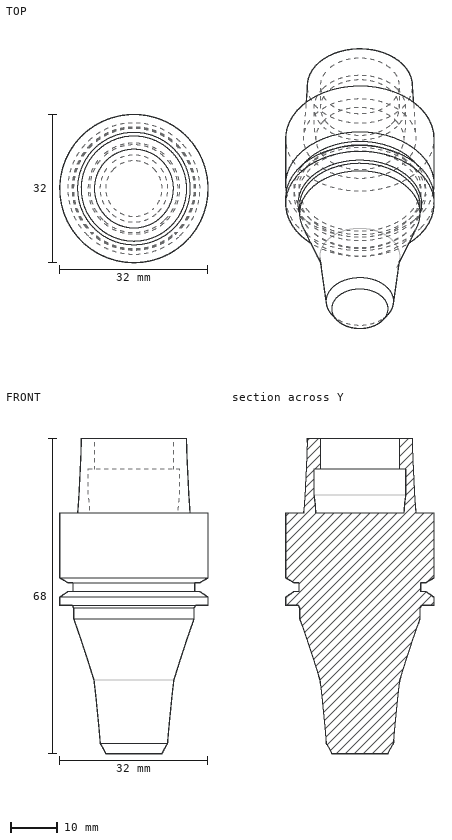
import cadquery as cq

total_height = 68.0
flange_top = 51.95
flange_bottom = 37.95
flange_bevel_height = 1.1
groove_bottom = 35.0
collar_bevel_height = 1.2
collar_bottom = 32.0
neck_top = 31.4
neck_bottom = 29.1
nose_top = 15.9
nose_bevel_height = 2.25

flange_diameter = 32.0
flange_bevel_diameter = 28.4
shank_top_diameter = 22.7
shank_base_diameter = 24.3
groove_diameter = 26.3
collar_under_diameter = 26.65
neck_diameter = 26.0
nose_top_diameter = 17.3
nose_base_diameter = 14.55
tip_diameter = 12.1

mouth_diameter = 17.0
mouth_depth = 6.6
chamber_diameter = 19.7
chamber_depth = 12.25
floor_diameter = 19.0
bore_depth = total_height - flange_top


def revolved(stations):
    """Turn (diameter, height) stations about Z, with the half profile on the -Y side."""
    profile = [(-diameter / 2, height) for diameter, height in stations]
    return cq.Workplane("YZ").polyline(profile).close().revolve(360, (0, 0), (0, 1))


def turned_body():
    """Revolve the outer half profile, listed as (diameter, height) from tip to shank."""
    stations = [
        (0, 0),
        (tip_diameter, 0),
        (nose_base_diameter, nose_bevel_height),
        (nose_top_diameter, nose_top),
        (neck_diameter, neck_bottom),
        (neck_diameter, neck_top),
        (collar_under_diameter, collar_bottom),
        (flange_diameter, collar_bottom),
        (flange_diameter, groove_bottom - collar_bevel_height),
        (flange_bevel_diameter, groove_bottom),
        (groove_diameter, groove_bottom),
        (groove_diameter, flange_bottom - flange_bevel_height),
        (flange_bevel_diameter, flange_bottom - flange_bevel_height),
        (flange_diameter, flange_bottom),
        (flange_diameter, flange_top),
        (shank_base_diameter, flange_top),
        (shank_top_diameter, total_height),
        (0, total_height),
    ]
    return revolved(stations)


def bore():
    """Cylindrical mouth, undercut chamber and tapered bottom, revolved as one profile."""
    mouth_bottom = total_height - mouth_depth
    chamber_bottom = total_height - chamber_depth
    floor = total_height - bore_depth
    stations = [
        (0, floor),
        (floor_diameter, floor),
        (chamber_diameter, chamber_bottom),
        (chamber_diameter, mouth_bottom),
        (mouth_diameter, mouth_bottom),
        (mouth_diameter, total_height),
        (0, total_height),
    ]
    return revolved(stations)


result = turned_body().cut(bore())